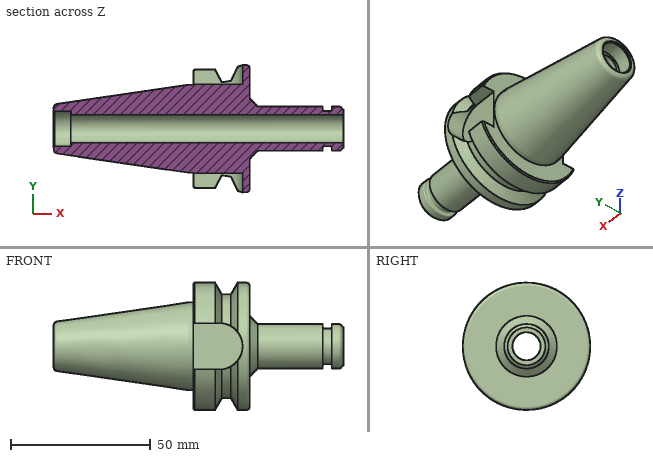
import cadquery as cq
import math

total_length = 104.3
taper_end = 48.4
flange_start = 50.3
flange_end = 70.6
neck_end = 73.4
ring_groove_start = 96.9
ring_groove_end = 100.0

gauge_radius = 15.8
taper_slope = 7 / 48
small_radius = gauge_radius - taper_slope * taper_end
taper_fillet = 1.7

flange_radius = 22.9
flange_chamfer = 0.5
flange_fillet = 1.3
groove_center = 62.1
groove_floor_width = 3.3
groove_floor_radius = 18.8
groove_wall_angle = 30

shank_radius = 8.0
neck_radius = 11.0
ring_groove_radius = 6.5
ring_groove_fillet = 0.3
tip_chamfer = 1.3
tip_fillet = 0.7

through_radius = 5.0
bore_radius = 6.3
bore_mouth_chamfer = 0.4
bore_depth = 6.3

slot_width = 16.7
slot_floor = 16.1
slot_end = 68.0


def revolve_profile(points):
    """Revolve a closed (x, radius) outline about the X axis."""
    return cq.Workplane("XY").polyline(points).close().revolve(360, (0, 0), (1, 0))


def edges_at(x):
    """Select the edges lying wholly in the plane at station x."""
    reach = 2 * flange_radius
    margin = 0.05
    return cq.selectors.BoxSelector(
        (x - margin, -reach, -reach),
        (x + margin, reach, reach),
        boundingbox=True,
    )


def make_taper():
    taper = revolve_profile([
        (0, 0),
        (0, small_radius),
        (taper_end, gauge_radius),
        (flange_start, gauge_radius),
        (flange_start, 0),
    ])
    return taper.faces("<X").edges().fillet(taper_fillet)


def make_flange():
    half_floor = groove_floor_width / 2
    wall_run = (flange_radius - groove_floor_radius) * math.tan(math.radians(groove_wall_angle))
    half_mouth = half_floor + wall_run
    flange = revolve_profile([
        (flange_start, 0),
        (flange_start, flange_radius),
        (groove_center - half_mouth, flange_radius),
        (groove_center - half_floor, groove_floor_radius),
        (groove_center + half_floor, groove_floor_radius),
        (groove_center + half_mouth, flange_radius),
        (flange_end, flange_radius),
        (flange_end, 0),
    ])
    flange = flange.faces("<X").edges().chamfer(flange_chamfer)
    return flange.faces(">X").edges().fillet(flange_fillet)


def make_shank():
    chamfer_start = total_length - tip_chamfer
    shank = revolve_profile([
        (flange_end, 0),
        (flange_end, neck_radius),
        (neck_end, shank_radius),
        (ring_groove_start, shank_radius),
        (ring_groove_start, ring_groove_radius),
        (ring_groove_end, ring_groove_radius),
        (ring_groove_end, shank_radius),
        (chamfer_start, shank_radius),
        (total_length, shank_radius - tip_chamfer),
        (total_length, 0),
    ])
    shank = shank.edges(edges_at(ring_groove_start)).fillet(ring_groove_fillet)
    shank = shank.edges(edges_at(ring_groove_end)).fillet(ring_groove_fillet)
    return shank.edges(edges_at(chamfer_start)).fillet(tip_fillet)


def make_bores():
    mouth_radius = bore_radius + bore_mouth_chamfer
    return revolve_profile([
        (0, 0),
        (0, mouth_radius),
        (bore_mouth_chamfer, bore_radius),
        (bore_depth, bore_radius),
        (bore_depth, through_radius),
        (total_length, through_radius),
        (total_length, 0),
    ])


def make_slot(side):
    """Round-ended slot on the +Y (side = 1) or -Y (side = -1) face of the flange."""
    half_width = slot_width / 2
    arc_start = slot_end - half_width
    depth = flange_radius - slot_floor
    center_y = side * (slot_floor + depth / 2)
    straight = cq.Workplane("XY").box(arc_start - flange_start, depth, slot_width)
    straight = straight.translate(((flange_start + arc_start) / 2, center_y, 0))
    rounded = cq.Workplane("XZ").circle(half_width).extrude(depth / 2, both=True)
    return straight.union(rounded.translate((arc_start, center_y, 0)))


result = make_taper().union(make_flange()).union(make_shank()).cut(make_bores())
for side in (1, -1):
    result = result.cut(make_slot(side))